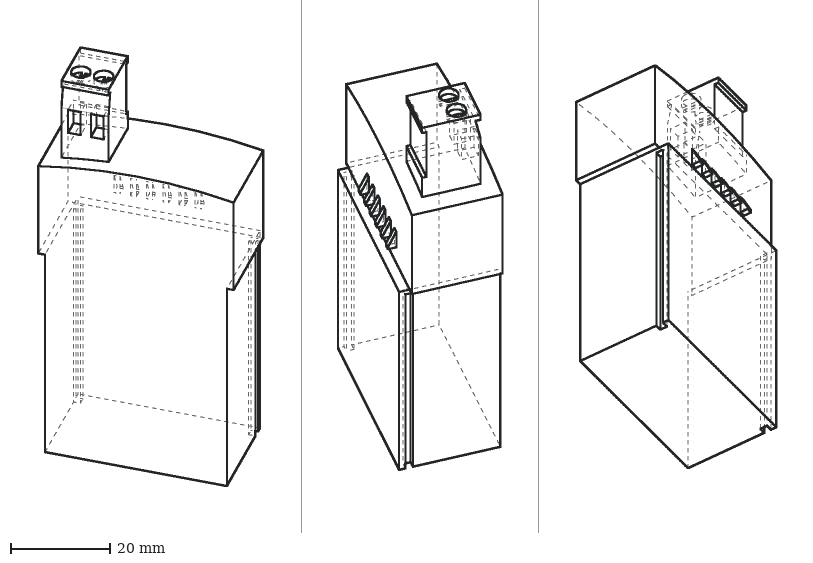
import cadquery as cq

base_width = 38.6
base_depth = 21.6
base_height = 48.6
cap_width = 41.5
cap_depth = 19.35
cap_shoulder_z = 70.1
cap_crown_z = 72.0

groove_width = 1.6
groove_back_wall = 1.3
groove_depth = 1.4
groove_top_z = 47.5

tooth_count = 6
tooth_row_length = 17.2
tooth_pitch = tooth_row_length / (tooth_count - 1)
tooth_width = 1.25
tooth_reach = 1.8
tooth_tip_height = 0.5
tooth_bottom_z = 52.9
tooth_top_z = 57.1
first_tooth_x = -10.3

plug_width = 10.0
plug_left_x = -16.9
plug_front_y = 3.4
plug_depth = 12.45
plug_top_z = 89.6
plug_root_z = cap_shoulder_z
lip_height = 1.4
lip_overhang_front = 1.1
lip_overhang_back = 0.9
bevel_bottom_z = 83.1
heel_top_z = 76.0

pole_count = 2
pole_pitch = 4.8
first_pole_inset = 2.8
first_pole_x = plug_left_x + first_pole_inset
window_width = 2.7
window_bottom_z = 77.15
window_top_z = 82.8
window_depth = 3.6
screw_diameter = 3.9
screw_inset = 4.2
screw_y = plug_front_y + screw_inset
screw_sink = 1.5
screw_slot_width = 0.7
screw_slot_depth = 0.7


def block(x_min, x_max, y_min, y_max, z_min, z_max):
    """Box given by its limits along each axis."""
    size = (x_max - x_min, y_max - y_min, z_max - z_min)
    return cq.Workplane("XY").box(*size, centered=False).translate((x_min, y_min, z_min))


def make_base():
    half_width = base_width / 2
    base = block(-half_width, half_width, 0, base_depth, 0, base_height)
    groove_back_y = base_depth - groove_back_wall
    groove_front_y = groove_back_y - groove_width
    groove_floor_x = half_width - groove_depth
    groove = block(groove_floor_x, half_width, groove_front_y, groove_back_y, 0, groove_top_z)
    return base.cut(groove).cut(groove.mirror("YZ"))


def make_cap():
    half_width = cap_width / 2
    return (
        cq.Workplane("XZ")
        .moveTo(-half_width, base_height)
        .lineTo(half_width, base_height)
        .lineTo(half_width, cap_shoulder_z)
        .threePointArc((0, cap_crown_z), (-half_width, cap_shoulder_z))
        .close()
        .extrude(-cap_depth)
    )


def make_tooth(center_x):
    tip_y = cap_depth + tooth_reach
    return (
        cq.Workplane("YZ", origin=(center_x - tooth_width / 2, 0, 0))
        .moveTo(cap_depth, tooth_bottom_z)
        .lineTo(tip_y, tooth_bottom_z)
        .lineTo(tip_y, tooth_bottom_z + tooth_tip_height)
        .lineTo(cap_depth, tooth_top_z)
        .close()
        .extrude(tooth_width)
    )


def make_plug_body():
    back_y = plug_front_y + plug_depth
    lip_bottom_z = plug_top_z - lip_height
    profile = [
        (plug_front_y, plug_root_z),
        (plug_front_y, bevel_bottom_z),
        (plug_front_y + lip_overhang_front, lip_bottom_z),
        (plug_front_y, lip_bottom_z),
        (plug_front_y, plug_top_z),
        (back_y, plug_top_z),
        (back_y, lip_bottom_z),
        (back_y - lip_overhang_back, lip_bottom_z),
        (back_y - lip_overhang_back, heel_top_z),
        (back_y, heel_top_z),
        (back_y, plug_root_z),
    ]
    return cq.Workplane("YZ", origin=(plug_left_x, 0, 0)).polyline(profile).close().extrude(plug_width)


def make_pole_cut(center_x):
    """Wire window, screw well and driver slot of one pole."""
    window = block(
        center_x - window_width / 2,
        center_x + window_width / 2,
        plug_front_y,
        plug_front_y + window_depth,
        window_bottom_z,
        window_top_z,
    )
    screw_head_z = plug_top_z - screw_sink
    screw_radius = screw_diameter / 2
    well = (
        cq.Workplane("XY", origin=(center_x, screw_y, screw_head_z))
        .circle(screw_radius)
        .extrude(screw_sink)
    )
    slot_disc = (
        cq.Workplane("XY", origin=(center_x, screw_y, screw_head_z - screw_slot_depth))
        .circle(screw_radius)
        .extrude(screw_slot_depth)
    )
    slot = block(
        center_x - screw_slot_width / 2,
        center_x + screw_slot_width / 2,
        screw_y - screw_radius,
        screw_y + screw_radius,
        screw_head_z - screw_slot_depth,
        screw_head_z,
    ).intersect(slot_disc)
    return window.union(well).union(slot)


plug = make_plug_body()
for pole in range(pole_count):
    plug = plug.cut(make_pole_cut(first_pole_x + pole * pole_pitch))

result = make_base().union(make_cap()).union(plug)
for tooth in range(tooth_count):
    result = result.union(make_tooth(first_tooth_x + tooth * tooth_pitch))